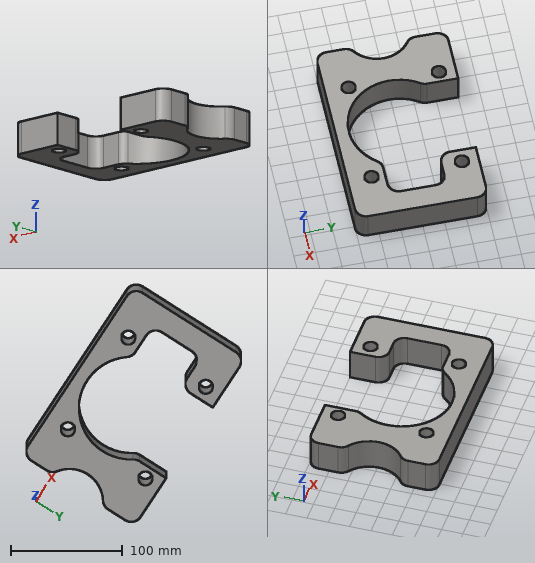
import cadquery as cq

length = 183.0
width = 120.0
thickness = 30.0
corner_radius = 10.0

bore_x = 89.0
bore_y = 59.0
bore_radius = 46.8
mouth_left = 52.3
mouth_right = 129.2
pocket_right = 162.1
pocket_front = 34.2
pocket_rear = 86.2

notch_radius = 30.0
notch_depth = 17.0
notch_y = bore_y

hole_diameter = 12.6
hole_columns = (41.9, 141.6)
hole_rows = (21.8, 104.5)


def block(x_min, x_max, y_min, y_max):
    """Full-thickness box between the given limits."""
    return (
        cq.Workplane("XY")
        .box(x_max - x_min, y_max - y_min, thickness, centered=False)
        .translate((x_min, y_min, 0))
    )


def cylinder(x, y, radius):
    """Full-thickness vertical cylinder."""
    return cq.Workplane("XY").center(x, y).circle(radius).extrude(thickness)


bore = cylinder(bore_x, bore_y, bore_radius)
mouth = block(mouth_left, mouth_right, bore_y, width)
pocket = block(bore_x, pocket_right, pocket_front, pocket_rear)

notch = (
    cylinder(0, 0, notch_radius)
    .rotate((0, 0, 0), (0, 0, 1), 180)
    .translate((notch_depth - notch_radius, notch_y, 0))
)

plate = block(0, length, 0, width)
opening = bore.union(mouth).union(pocket)
plate = plate.cut(opening).cut(notch)

margin = 1.8
mouth_edges = cq.selectors.BoxSelector(
    (mouth_left - margin, width - margin, -margin),
    (mouth_right + margin, width + margin, thickness + margin),
)
vertical_edges = cq.selectors.ParallelDirSelector(cq.Vector(0, 0, 1))
plate = plate.edges(vertical_edges - mouth_edges).fillet(corner_radius)

for hole_x in hole_columns:
    for hole_y in hole_rows:
        plate = plate.cut(cylinder(hole_x, hole_y, hole_diameter / 2))

result = plate